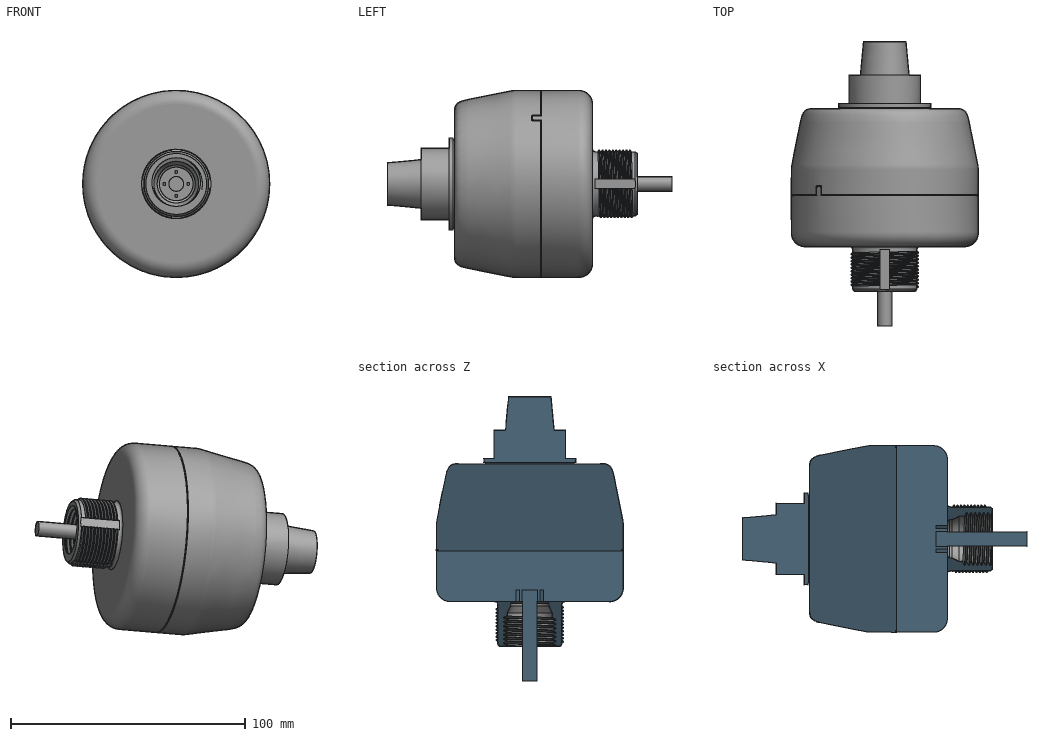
import cadquery as cq
import math


HOUSING_R = 40.0
HOUSING_DEPTH = 59.1
FRONT_ROUND = 6.0
PARTING_Y = 21.9
TAPER_START_Y = 33.0
TAPER_BLEND_END_Y = 34.8
TAPER_END_Y = 53.4
TAPER_END_R = 36.1
BACK_FACE_R = 31.1
TAPER_CORNER_Y = (TAPER_START_Y + TAPER_BLEND_END_Y) / 2
TAPER_SLOPE = (HOUSING_R - TAPER_END_R) / (TAPER_END_Y - TAPER_CORNER_Y)

GAP = 0.4
GAP_DEPTH = 0.7
TAB_WIDTH = 2.7
TAB_LENGTH = 3.9
TAB_SLOT_ROUND = 1.0
TAB_ANGLE = 45

NIPPLE_LENGTH = 19.1
ROOT_FILLET = 1.0
CORE_R = 13.9
END_CHAMFER_R = 0.9
END_CHAMFER_LENGTH = 1.1
OUTER_THREAD_R = 14.6
OUTER_PITCH = 1.5
OUTER_THREAD_START_Y = -17.0
OUTER_THREAD_TURNS = 10.2
FLAT_COUNT = 4
FLAT_WIDTH = 4.0
FLAT_DISTANCE = 13.6
FLAT_START_Y = -1.1

BORE_R = 9.6
BORE_THREAD_R = 11.2
BORE_PITCH = 1.8
BORE_THREAD_TURNS = 8
BORE_THREAD_ANGLE = -90
BORE_CONE_START_Y = -4.9
BORE_CONE_END_Y = -1.8
BORE_NECK_R = 8.1
BORE_FLOOR_R = 7.2
BORE_FLOOR_CONE_LENGTH = 0.7

THREAD_TIP_WIDTH = 0.18
THREAD_ROOT_CLEARANCE = 0.1
THREAD_OVERLAP = 0.1

CABLE_R = 3.2
CABLE_LENGTH = 33.9
SEAT_DEPTH = 4.9
PIN_COUNT = 4
PIN_R = 0.6
PIN_CIRCLE_R = 5.1

GASKET_R = 19.0
GASKET_THICKNESS = 0.5
FLANGE_R = 19.7
FLANGE_THICKNESS = 1.7
FITTING_COLLAR_R = 15.3
FITTING_COLLAR_LENGTH = 12.0
SPOUT_BASE_R = 10.5
SPOUT_END_R = 9.1
SPOUT_LENGTH = 14.3

OVERCUT = 1.2


def spin(outline):
    """Revolve a closed outline, drawn as (radius, y), about the Y axis."""
    return outline.close().revolve(360, (0, 0, 0), (0, 1, 0))


def cylinder(radius, y_start, y_end):
    """Cylinder on the Y axis."""
    return spin(
        cq.Workplane("XY")
        .moveTo(0, y_start)
        .lineTo(radius, y_start)
        .lineTo(radius, y_end)
        .lineTo(0, y_end)
    )


def around_axis(shape, angle):
    return shape.rotate((0, 0, 0), (0, 1, 0), angle)


def helical_vee(root_r, tip_r, pitch, turns, start_y, start_angle=0):
    """Solid thread form that climbs toward +Y; its root reaches just inside root_r."""
    base_r = root_r - THREAD_OVERLAP
    base_width = pitch - THREAD_ROOT_CLEARANCE
    path = cq.Wire.makeHelix(pitch, pitch * turns, base_r)
    form = (
        cq.Workplane("XZ")
        .moveTo(base_r, -base_width / 2)
        .lineTo(tip_r, -THREAD_TIP_WIDTH / 2)
        .lineTo(tip_r, THREAD_TIP_WIDTH / 2)
        .lineTo(base_r, base_width / 2)
        .close()
        .sweep(cq.Workplane(path), isFrenet=True)
    )
    laid_down = form.rotate((0, 0, 0), (1, 0, 0), -90)
    return around_axis(laid_down, start_angle).translate((0, start_y, 0))



def tab_block(width, length, inner_r, corner_r):
    """Block with a rounded tip that rises from the parting plane at the rim."""
    height = HOUSING_R + OVERCUT - inner_r
    block = (
        cq.Workplane("XY")
        .box(width, length + OVERCUT, height, centered=(True, False, False))
        .edges("|Z and >Y")
        .fillet(corner_r)
        .translate((0, PARTING_Y - OVERCUT, inner_r))
    )
    return around_axis(block, -TAB_ANGLE)


def make_front_housing():
    body = cylinder(HOUSING_R, 0, PARTING_Y).faces("<Y").edges().fillet(FRONT_ROUND)
    tab = tab_block(TAB_WIDTH, TAB_LENGTH, HOUSING_R - GAP_DEPTH, TAB_SLOT_ROUND - GAP)
    body = body.union(tab.intersect(cylinder(HOUSING_R, 0, PARTING_Y + 2 * TAB_LENGTH)))
    body = body.cut(cylinder(CABLE_R, 0, SEAT_DEPTH))
    for pin in make_pins():
        body = body.cut(pin)
    return body


def make_rear_housing():
    blend_r = HOUSING_R - TAPER_SLOPE * (TAPER_BLEND_END_Y - TAPER_CORNER_Y)
    body = spin(
        cq.Workplane("XY")
        .moveTo(0, PARTING_Y)
        .lineTo(HOUSING_R, PARTING_Y)
        .lineTo(HOUSING_R, TAPER_START_Y)
        .tangentArcPoint((blend_r, TAPER_BLEND_END_Y), relative=False)
        .lineTo(TAPER_END_R, TAPER_END_Y)
        .spline(
            [(BACK_FACE_R, HOUSING_DEPTH)],
            tangents=[(-TAPER_SLOPE, 1), (-1, 0)],
            includeCurrent=True,
        )
        .lineTo(0, HOUSING_DEPTH)
    )
    inner_r = HOUSING_R - GAP_DEPTH
    gap_ring = cylinder(HOUSING_R + OVERCUT, PARTING_Y, PARTING_Y + GAP).cut(
        cylinder(inner_r, PARTING_Y, PARTING_Y + GAP)
    )
    tab_slot = tab_block(TAB_WIDTH + 2 * GAP, TAB_LENGTH + GAP, inner_r, TAB_SLOT_ROUND)
    return body.cut(gap_ring).cut(tab_slot)



def nipple_blank():
    return spin(
        cq.Workplane("XY")
        .moveTo(0, 0)
        .lineTo(CORE_R + ROOT_FILLET, 0)
        .radiusArc((CORE_R, -ROOT_FILLET), -ROOT_FILLET)
        .lineTo(CORE_R, END_CHAMFER_LENGTH - NIPPLE_LENGTH)
        .lineTo(CORE_R - END_CHAMFER_R, -NIPPLE_LENGTH)
        .lineTo(0, -NIPPLE_LENGTH)
    )


def nipple_bore():
    return spin(
        cq.Workplane("XY")
        .moveTo(0, -NIPPLE_LENGTH)
        .lineTo(BORE_R, -NIPPLE_LENGTH)
        .lineTo(BORE_R, BORE_CONE_START_Y)
        .lineTo(BORE_NECK_R, BORE_CONE_END_Y)
        .lineTo(BORE_NECK_R, -BORE_FLOOR_CONE_LENGTH)
        .lineTo(BORE_FLOOR_R, 0)
        .lineTo(0, 0)
    )


def make_nipple():
    outer_thread = helical_vee(
        CORE_R, OUTER_THREAD_R, OUTER_PITCH, OUTER_THREAD_TURNS, OUTER_THREAD_START_Y
    )
    bore_thread = helical_vee(
        BORE_R, BORE_THREAD_R, BORE_PITCH, BORE_THREAD_TURNS,
        -NIPPLE_LENGTH - BORE_PITCH, BORE_THREAD_ANGLE,
    )
    body = nipple_blank().union(outer_thread).cut(nipple_bore()).cut(bore_thread)
    cut_height = OUTER_THREAD_R + OVERCUT - FLAT_DISTANCE
    flat_cut = (
        cq.Workplane("XY")
        .box(FLAT_WIDTH, NIPPLE_LENGTH, cut_height, centered=(True, False, False))
        .translate((0, FLAT_START_Y - NIPPLE_LENGTH, FLAT_DISTANCE))
    )
    for index in range(FLAT_COUNT):
        body = body.cut(around_axis(flat_cut, index * 360 / FLAT_COUNT))
    return body



def make_cable():
    return cylinder(CABLE_R, -CABLE_LENGTH, SEAT_DEPTH)


def make_pins():
    """Contact pins, flush with the front face of the housing."""
    pins = []
    for index in range(PIN_COUNT):
        angle = math.radians(index * 360 / PIN_COUNT)
        place = (PIN_CIRCLE_R * math.cos(angle), 0, PIN_CIRCLE_R * math.sin(angle))
        pins.append(cylinder(PIN_R, 0, SEAT_DEPTH).translate(place))
    return pins



def make_gasket():
    return cylinder(GASKET_R, HOUSING_DEPTH, HOUSING_DEPTH + GASKET_THICKNESS)


def make_fitting():
    flange_y = HOUSING_DEPTH + GASKET_THICKNESS
    collar_y = flange_y + FLANGE_THICKNESS
    spout_y = collar_y + FITTING_COLLAR_LENGTH
    end_y = spout_y + SPOUT_LENGTH
    return spin(
        cq.Workplane("XY")
        .moveTo(0, flange_y)
        .lineTo(FLANGE_R, flange_y)
        .lineTo(FLANGE_R, collar_y)
        .lineTo(FITTING_COLLAR_R, collar_y)
        .lineTo(FITTING_COLLAR_R, spout_y)
        .lineTo(SPOUT_BASE_R, spout_y)
        .lineTo(SPOUT_END_R, end_y)
        .lineTo(0, end_y)
    )


front_housing = make_front_housing()
rear_housing = make_rear_housing()
nipple = make_nipple()
cable = make_cable()
pins = make_pins()
gasket = make_gasket()
fitting = make_fitting()

result = cq.Compound.makeCompound([
    front_housing.solids().val(),
    rear_housing.solids().val(),
    nipple.solids().val(),
    cable.val(),
    *[pin.val() for pin in pins],
    gasket.val(),
    fitting.val(),
])